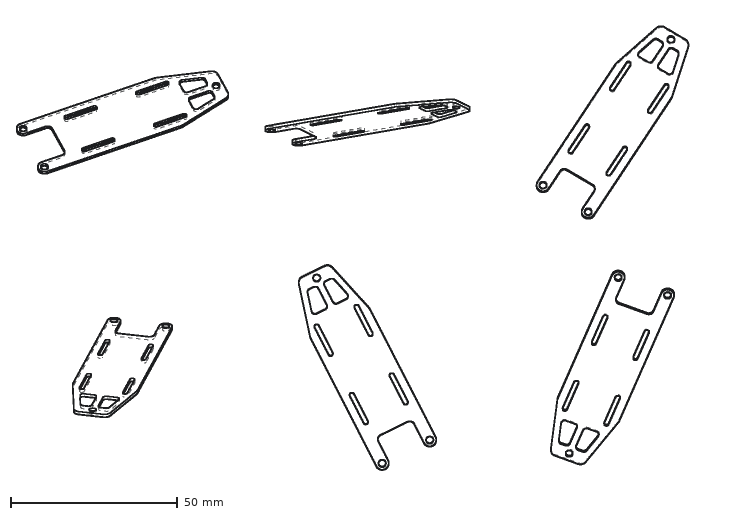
import cadquery as cq
import math

length = 64.0
width = 20.0
thickness = 1.0
half_length = length / 2
half_width = width / 2

nose_half_width = 5.25
shoulder_y = 14.3
nose_radius = 2.0
shoulder_radius = 2.5

leg_width = 4.0
leg_radius = leg_width / 2
leg_center_x = half_width - leg_radius
leg_center_y = -half_length + leg_radius
notch_half_width = half_width - leg_width
notch_depth = 10.0
notch_end_y = -half_length + notch_depth
notch_radius = 1.5

hole_diameter = 2.2
nose_hole_y = half_length - 2.25

slot_width = 1.4
slot_length = 10.7
slot_x = 6.7
slot_y = 11.8

rib_width = 2.05
window_top_y = 27.7
window_bottom_y = 20.0
window_edge_margin = 2.05
window_radius = 1.0

taper_slope = (half_width - nose_half_width) / (half_length - shoulder_y)
margin_along_x = window_edge_margin * math.hypot(1, taper_slope)


def taper_x(y):
    """Half width of the nose at position y along the taper."""
    return half_width - taper_slope * (y - shoulder_y)


def make_plate():
    outline = (
        cq.Workplane("XY")
        .moveTo(-nose_half_width, half_length)
        .lineTo(nose_half_width, half_length)
        .lineTo(half_width, shoulder_y)
        .lineTo(half_width, leg_center_y)
        .threePointArc((leg_center_x, -half_length), (notch_half_width, leg_center_y))
        .lineTo(notch_half_width, notch_end_y)
        .lineTo(-notch_half_width, notch_end_y)
        .lineTo(-notch_half_width, leg_center_y)
        .threePointArc((-leg_center_x, -half_length), (-half_width, leg_center_y))
        .lineTo(-half_width, shoulder_y)
        .close()
    )
    plate = outline.extrude(thickness)
    corners = (
        (nose_half_width, half_length, nose_radius),
        (half_width, shoulder_y, shoulder_radius),
        (notch_half_width, notch_end_y, notch_radius),
    )
    for x, y, radius in corners:
        for side in (-1, 1):
            corner = cq.selectors.NearestToPointSelector((side * x, y, thickness / 2))
            plate = plate.edges("|Z").edges(corner).fillet(radius)
    return plate


def make_window():
    """Cutter for the window on the +X side of the rib."""
    inner_x = rib_width / 2
    return (
        cq.Workplane("XY")
        .moveTo(inner_x, window_bottom_y)
        .lineTo(taper_x(window_bottom_y) - margin_along_x, window_bottom_y)
        .lineTo(taper_x(window_top_y) - margin_along_x, window_top_y)
        .lineTo(inner_x, window_top_y)
        .close()
        .extrude(thickness)
        .edges("|Z").fillet(window_radius)
    )


def make_holes():
    centers = [(0, nose_hole_y), (-leg_center_x, leg_center_y), (leg_center_x, leg_center_y)]
    return cq.Workplane("XY").pushPoints(centers).circle(hole_diameter / 2).extrude(thickness)


def make_slots():
    return (
        cq.Workplane("XY")
        .rect(2 * slot_x, 2 * slot_y, forConstruction=True)
        .vertices()
        .slot2D(slot_length, slot_width, 90)
        .extrude(thickness)
    )


window = make_window()
result = make_plate().cut(make_holes()).cut(make_slots())
result = result.cut(window).cut(window.mirror("YZ"))